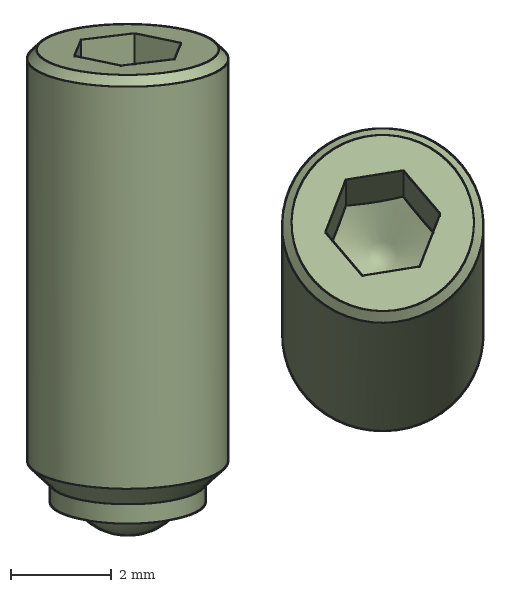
import cadquery as cq
import math

LENGTH = 10.0
BODY_RADIUS = 2.0
TOP_CHAMFER = 0.19

NOSE_RADIUS = 1.55
NOSE_BOTTOM_Z = 0.65
CONE_TOP_Z = 1.5
CONE_BOTTOM_Z = CONE_TOP_Z - (BODY_RADIUS - NOSE_RADIUS)

BALL_RADIUS = 1.25

HEX_ACROSS_FLATS = 2.0
HEX_CORNER_RADIUS = HEX_ACROSS_FLATS / math.sqrt(3)
SOCKET_DEPTH = 2.0
FLOOR_CONE_ANGLE = 120.0
FLOOR_CONE_HEIGHT = HEX_CORNER_RADIUS / math.tan(math.radians(FLOOR_CONE_ANGLE / 2))


def make_ball():
    return cq.Workplane("XY").sphere(BALL_RADIUS).translate((0, 0, BALL_RADIUS))


def make_socket():
    """Hexagonal prism, corners along X, ending in a pointed conical floor."""
    floor_z = LENGTH - SOCKET_DEPTH
    tip_z = floor_z - FLOOR_CONE_HEIGHT
    hexagon = (
        cq.Workplane("XY", origin=(0, 0, tip_z))
        .polygon(6, 2 * HEX_CORNER_RADIUS)
        .extrude(LENGTH - tip_z)
    )
    pointed_bore = (
        cq.Workplane("XZ")
        .moveTo(0, tip_z)
        .lineTo(HEX_CORNER_RADIUS, floor_z)
        .lineTo(HEX_CORNER_RADIUS, LENGTH)
        .lineTo(0, LENGTH)
        .close()
        .revolve(360, (0, 0, 0), (0, 1, 0))
    )
    return hexagon.intersect(pointed_bore)


def make_screw(ball):
    """Turned body with a hexagonal socket on top and a seat that holds the ball."""
    body = (
        cq.Workplane("XZ")
        .moveTo(0, NOSE_BOTTOM_Z)
        .lineTo(NOSE_RADIUS, NOSE_BOTTOM_Z)
        .lineTo(NOSE_RADIUS, CONE_BOTTOM_Z)
        .lineTo(BODY_RADIUS, CONE_TOP_Z)
        .lineTo(BODY_RADIUS, LENGTH - TOP_CHAMFER)
        .lineTo(BODY_RADIUS - TOP_CHAMFER, LENGTH)
        .lineTo(0, LENGTH)
        .close()
        .revolve(360, (0, 0, 0), (0, 1, 0))
    )
    return body.cut(make_socket()).cut(ball).solids()


ball = make_ball()
screw = make_screw(ball)

result = cq.Compound.makeCompound([screw.val(), ball.val()])